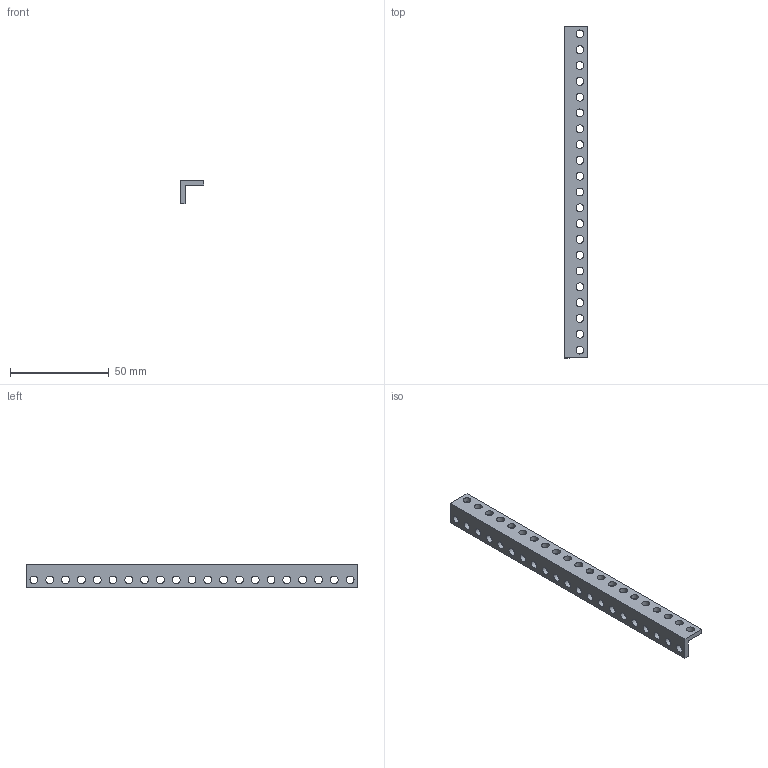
import cadquery as cq

hole_pitch = 8.0
hole_count = 21
hole_diameter = 4.0
leg_width = 12.0
leg_thickness = 2.5
hole_gauge = 8.0

bar_length = hole_count * hole_pitch
hole_positions = [(index + 0.5) * hole_pitch for index in range(hole_count)]


def angle_bar():
    """L-shaped bar along +Y: outer corner edge at X = 0, Z = 0, legs toward +X and -Z."""
    top_leg = cq.Workplane("XY").box(leg_width, bar_length, leg_thickness, centered=False)
    top_leg = top_leg.translate((0, 0, -leg_thickness))
    side_leg = cq.Workplane("XY").box(leg_thickness, bar_length, leg_width, centered=False)
    side_leg = side_leg.translate((0, 0, -leg_width))
    return top_leg.union(side_leg)


def top_leg_holes():
    """Row of vertical cutters through the top leg."""
    centers = [(hole_gauge, y) for y in hole_positions]
    return cq.Workplane("XY").pushPoints(centers).circle(hole_diameter / 2).extrude(-leg_thickness)


def side_leg_holes():
    """Row of cutters along X through the side leg."""
    centers = [(y, -hole_gauge) for y in hole_positions]
    return cq.Workplane("YZ").pushPoints(centers).circle(hole_diameter / 2).extrude(leg_thickness)


result = angle_bar().cut(top_leg_holes()).cut(side_leg_holes())